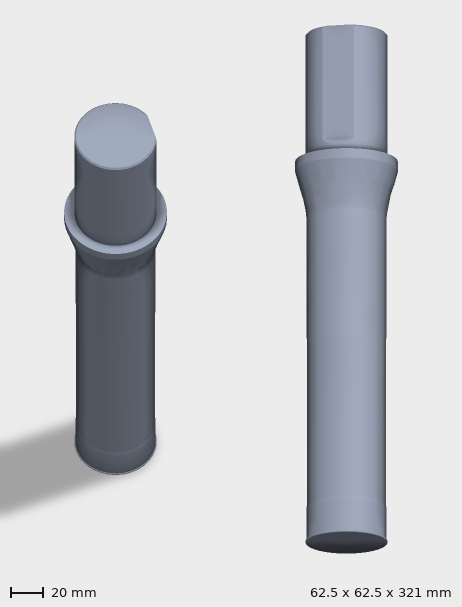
import cadquery as cq

shank_length = 80.0
overall_length = 320.98
tip_z = shank_length - overall_length

shank_diameter = 49.99
shank_chamfer = 1.0
flat_distance = 23.0
flat_bottom_z = 4.8
flat_ramp_height = 3.5

flange_diameter = 62.5
flange_thickness = 6.0
flare_waist_diameter = 49.7
flare_waist_z = -31.0
neck_diameter = 48.75
neck_top_z = -35.5
neck_bottom_z = -41.3
shaft_diameter = 48.25
shaft_top_z = -117.5

collar_diameter = neck_diameter
collar_taper_top_z = -217.0
collar_taper_bottom_z = -220.0
collar_bottom_z = -238.8

plug_diameter = 47.0
plug_top_z = -223.6
rim_diameter = 49.99
rim_rounding = 0.8
point_height = 0.98
rim_bottom_z = tip_z + point_height

shank_radius = shank_diameter / 2
flange_radius = flange_diameter / 2
flare_waist_radius = flare_waist_diameter / 2
neck_radius = neck_diameter / 2
shaft_radius = shaft_diameter / 2
collar_radius = collar_diameter / 2
plug_radius = plug_diameter / 2
rim_radius = rim_diameter / 2


def revolve_about_z(profile):
    return profile.close().revolve(360, (0, 0, 0), (0, 1, 0))


def make_flat_cutter():
    return (
        cq.Workplane("YZ")
        .moveTo(flat_distance, shank_length)
        .lineTo(flat_distance, flat_bottom_z + flat_ramp_height)
        .lineTo(shank_radius, flat_bottom_z)
        .lineTo(shank_radius, shank_length)
        .close()
        .extrude(shank_radius, both=True)
    )


def make_holder():
    flare_direction = (flare_waist_radius - flange_radius, flare_waist_z + flange_thickness)
    straight_down = (0, -1)
    profile = (
        cq.Workplane("XZ")
        .moveTo(0, shank_length)
        .lineTo(shank_radius - shank_chamfer, shank_length)
        .lineTo(shank_radius, shank_length - shank_chamfer)
        .lineTo(shank_radius, 0)
        .lineTo(flange_radius, 0)
        .lineTo(flange_radius, -flange_thickness)
        .spline(
            [(flare_waist_radius, flare_waist_z), (neck_radius, neck_top_z)],
            tangents=[flare_direction, straight_down],
            includeCurrent=True,
        )
        .lineTo(neck_radius, neck_bottom_z)
        .lineTo(shaft_radius, shaft_top_z)
        .lineTo(shaft_radius, collar_taper_top_z)
        .lineTo(collar_radius, collar_taper_bottom_z)
        .lineTo(collar_radius, collar_bottom_z)
        .lineTo(plug_radius, collar_bottom_z)
        .lineTo(plug_radius, plug_top_z)
        .lineTo(0, plug_top_z)
    )
    return revolve_about_z(profile).cut(make_flat_cutter())


def make_cutting_head():
    profile = (
        cq.Workplane("XZ")
        .moveTo(0, plug_top_z)
        .lineTo(plug_radius, plug_top_z)
        .lineTo(plug_radius, collar_bottom_z)
        .lineTo(collar_radius, collar_bottom_z)
        .threePointArc(
            (rim_radius, rim_bottom_z + rim_rounding),
            (rim_radius - rim_rounding, rim_bottom_z),
        )
        .lineTo(0, tip_z)
    )
    return revolve_about_z(profile)


holder = make_holder()
cutting_head = make_cutting_head()
result = cq.Compound.makeCompound([holder.val(), cutting_head.val()])